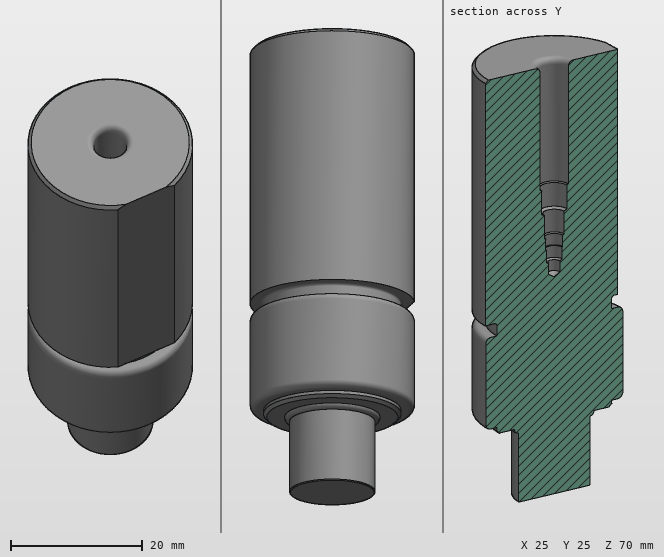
import cadquery as cq
import math

total_height = 70.0
collar_bottom = 13.0
collar_top = 28.0
body_bottom = 30.0

body_diameter = 25.0
body_radius = body_diameter / 2
top_chamfer = 0.5
collar_edge_radius = 1.0
flat_offset = 11.5

neck_radius = 20.92 / 2
neck_fillet = 0.4

spigot_radius = 20.92 / 2
spigot_height = 1.0
spigot_chamfer = 0.5
spigot_bottom = collar_bottom - spigot_height

stub_radius = 13.0 / 2
shoulder_radius = 14.5 / 2
shoulder_edge_radius = shoulder_radius - stub_radius
shoulder_bottom = spigot_bottom - shoulder_edge_radius
stub_chamfer = 0.15

mouth_radius = 1.0
bore_diameters = [5.0, 4.5, 3.5, 3.0, 2.75, 2.0]
bore_depths = [20.0, 24.0, 28.0, 30.0, 32.0, 34.0]
drill_point_angle = 118.0


def arc_inset(radius):
    """Offset of a quarter arc's midpoint from the corner it rounds, along each axis."""
    return radius * (1 - math.sqrt(0.5))


def add_rounded_lower_edge(profile, radius, bottom, edge_radius):
    """Continue the profile around a step's lower edge, from its underside to its wall."""
    inset = arc_inset(edge_radius)
    return profile.threePointArc((radius - inset, bottom + inset), (radius, bottom + edge_radius))


def make_turned_body():
    """Revolve the outer half profile around the Z axis."""
    neck_inset = arc_inset(neck_fillet)
    collar_inset = arc_inset(collar_edge_radius)
    profile = (
        cq.Workplane("XZ")
        .moveTo(0, 0)
        .lineTo(stub_radius - stub_chamfer, 0)
        .lineTo(stub_radius, stub_chamfer)
        .lineTo(stub_radius, shoulder_bottom)
    )
    profile = add_rounded_lower_edge(profile, shoulder_radius, shoulder_bottom, shoulder_edge_radius)
    profile = (
        profile
        .lineTo(spigot_radius - spigot_chamfer, spigot_bottom)
        .lineTo(spigot_radius, spigot_bottom + spigot_chamfer)
        .lineTo(spigot_radius, collar_bottom)
        .lineTo(body_radius - collar_edge_radius, collar_bottom)
    )
    profile = add_rounded_lower_edge(profile, body_radius, collar_bottom, collar_edge_radius)
    profile = (
        profile
        .lineTo(body_radius, collar_top - collar_edge_radius)
        .threePointArc(
            (body_radius - collar_inset, collar_top - collar_inset),
            (body_radius - collar_edge_radius, collar_top),
        )
        .lineTo(neck_radius, collar_top)
        .lineTo(neck_radius, body_bottom - neck_fillet)
        .threePointArc(
            (neck_radius + neck_inset, body_bottom - neck_inset),
            (neck_radius + neck_fillet, body_bottom),
        )
        .lineTo(body_radius, body_bottom)
        .lineTo(body_radius, total_height - top_chamfer)
        .lineTo(body_radius - top_chamfer, total_height)
        .lineTo(0, total_height)
        .close()
    )
    return profile.revolve(360, (0, 0, 0), (0, 1, 0))


def make_flat_cutter():
    """Block that removes the material outside the flat, over the body only."""
    body_height = total_height - body_bottom
    return (
        cq.Workplane("XY")
        .box(body_radius, body_diameter, body_height, centered=(False, True, False))
        .translate((flat_offset, 0, body_bottom))
    )


def make_bore_cutter():
    """Solid of the stepped bore with its rounded mouth and drill point."""
    mouth_bore_radius = bore_diameters[0] / 2
    mouth_inset = arc_inset(mouth_radius)
    profile = (
        cq.Workplane("XZ")
        .moveTo(0, total_height)
        .lineTo(mouth_bore_radius + mouth_radius, total_height)
        .threePointArc(
            (mouth_bore_radius + mouth_inset, total_height - mouth_inset),
            (mouth_bore_radius, total_height - mouth_radius),
        )
    )
    cone_slope = math.tan(math.radians(drill_point_angle / 2))
    previous_radius = mouth_bore_radius
    previous_bottom = total_height - mouth_radius
    for diameter, depth in zip(bore_diameters, bore_depths):
        radius = diameter / 2
        bottom = total_height - depth
        if radius < previous_radius:
            cone_height = (previous_radius - radius) / cone_slope
            profile = profile.lineTo(radius, previous_bottom - cone_height)
        profile = profile.lineTo(radius, bottom)
        previous_radius = radius
        previous_bottom = bottom
    point_height = previous_radius / cone_slope
    profile = profile.lineTo(0, previous_bottom - point_height).close()
    return profile.revolve(360, (0, 0, 0), (0, 1, 0))


result = make_turned_body().cut(make_flat_cutter()).cut(make_bore_cutter())